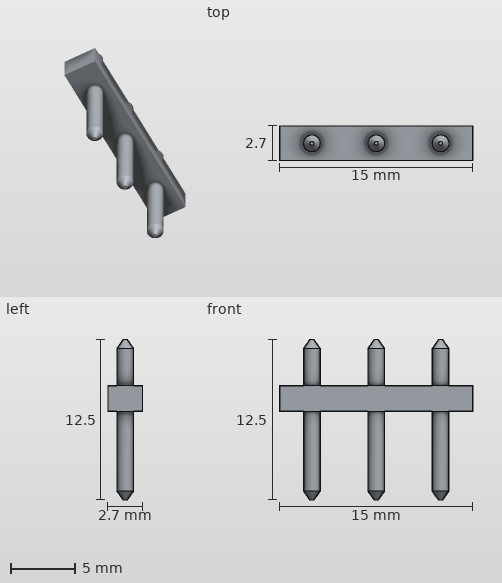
import cadquery as cq

body_length = 15.0
body_width = 2.7
body_height = 2.0

pin_count = 3
pin_pitch = 5.0
pin_diameter = 1.3
pin_length = 12.5
pin_above_body = 3.6
tip_diameter = 0.3
tip_length = 0.7

pin_top = body_height + pin_above_body
pin_bottom = pin_top - pin_length


def make_body():
    """Rectangular bar that carries the pins."""
    return cq.Workplane("XY").box(body_length, body_width, body_height, centered=(True, True, False))


def make_pin(x_position):
    """Round pin with a blunt conical tip at each end, revolved about its own axis."""
    pin_radius = pin_diameter / 2
    tip_radius = tip_diameter / 2
    half_profile = (
        cq.Workplane("XZ")
        .moveTo(0, pin_bottom)
        .lineTo(tip_radius, pin_bottom)
        .lineTo(pin_radius, pin_bottom + tip_length)
        .lineTo(pin_radius, pin_top - tip_length)
        .lineTo(tip_radius, pin_top)
        .lineTo(0, pin_top)
        .close()
    )
    pin = half_profile.revolve(360, (0, 0, 0), (0, 1, 0))
    return pin.translate((x_position, 0, 0))


result = make_body()
first_pin_x = -pin_pitch * (pin_count - 1) / 2
for pin_index in range(pin_count):
    result = result.union(make_pin(first_pin_x + pin_index * pin_pitch))